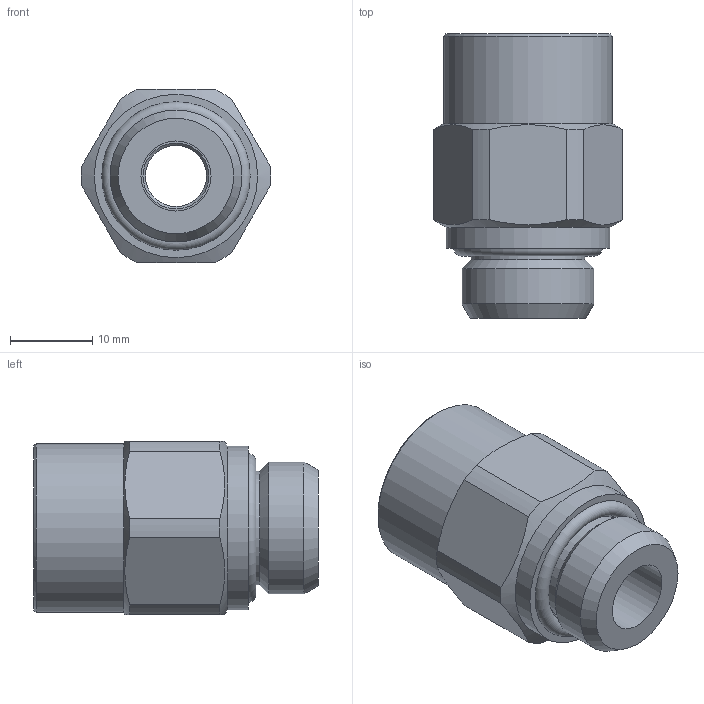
import cadquery as cq
import math


total_length = 34.5

spigot_diameter = 16.0
spigot_tip_diameter = 14.0
spigot_chamfer_angle = 30.0
spigot_shoulder = 6.0
neck_diameter = 13.8

collar_diameter = 19.8
collar_start = 8.5
seal_outer_diameter = 18.0
seal_section_radius = 0.95

hex_start = 11.0
hex_end = 23.6
hex_across_flats = 21.0
hex_corner_diameter = 23.0
hex_chamfer_angle = 30.0

sleeve_diameter = 20.5
sleeve_chamfer = 0.3

entry_bore_diameter = 8.5
entry_bore_depth = hex_start
cone_diameter = 8.0
through_bore_diameter = 7.4


def tan_deg(angle):
    return math.tan(math.radians(angle))


def revolve_about_y(profile):
    """Turn a closed (radius, Y) profile through a full revolution about Y."""
    return profile.close().revolve(360, (0, 0, 0), (0, 1, 0))


def make_front_end():
    """Spigot, undercut neck, seal ring and collar."""
    tip_radius = spigot_tip_diameter / 2
    spigot_radius = spigot_diameter / 2
    neck_radius = neck_diameter / 2
    seal_outer_radius = seal_outer_diameter / 2
    seal_centre_radius = seal_outer_radius - seal_section_radius
    seal_inner_radius = seal_centre_radius - seal_section_radius
    collar_radius = collar_diameter / 2
    tip_chamfer_length = (spigot_radius - tip_radius) / tan_deg(spigot_chamfer_angle)
    neck_start = spigot_shoulder + spigot_radius - neck_radius

    profile = (
        cq.Workplane("XY")
        .lineTo(tip_radius, 0)
        .lineTo(spigot_radius, tip_chamfer_length)
        .lineTo(spigot_radius, spigot_shoulder)
        .lineTo(neck_radius, neck_start)
        .lineTo(neck_radius, collar_start)
        .lineTo(seal_inner_radius, collar_start)
        .threePointArc(
            (seal_centre_radius, collar_start - seal_section_radius),
            (seal_outer_radius, collar_start),
        )
        .lineTo(collar_radius, collar_start)
        .lineTo(collar_radius, hex_start)
        .lineTo(0, hex_start)
    )
    return revolve_about_y(profile)


def make_hexagon():
    """Hexagon with flats at +Z and -Z, its corners and ends turned down."""
    corner_radius = hex_corner_diameter / 2
    front_radius = collar_diameter / 2
    rear_radius = sleeve_diameter / 2
    slope = tan_deg(hex_chamfer_angle)
    across_corners = hex_across_flats / math.cos(math.pi / 6)

    prism = (
        cq.Workplane("XZ", origin=(0, hex_start, 0))
        .polygon(6, across_corners)
        .extrude(hex_start - hex_end)
    )
    turned_envelope = revolve_about_y(
        cq.Workplane("XY")
        .moveTo(0, hex_start)
        .lineTo(front_radius, hex_start)
        .lineTo(corner_radius, hex_start + (corner_radius - front_radius) * slope)
        .lineTo(corner_radius, hex_end - (corner_radius - rear_radius) * slope)
        .lineTo(rear_radius, hex_end)
        .lineTo(0, hex_end)
    )
    return prism.intersect(turned_envelope)


def make_sleeve():
    """Plain cylinder behind the hexagon, chamfered at its free end."""
    return (
        cq.Workplane("XZ", origin=(0, hex_end, 0))
        .circle(sleeve_diameter / 2)
        .extrude(hex_end - total_length)
        .faces(">Y")
        .chamfer(sleeve_chamfer)
    )


def make_bore():
    """Entry bore, flat step, short 45 degree cone and through bore."""
    entry_radius = entry_bore_diameter / 2
    cone_radius = cone_diameter / 2
    through_radius = through_bore_diameter / 2
    cone_end = entry_bore_depth + cone_radius - through_radius

    profile = (
        cq.Workplane("XY")
        .lineTo(entry_radius, 0)
        .lineTo(entry_radius, entry_bore_depth)
        .lineTo(cone_radius, entry_bore_depth)
        .lineTo(through_radius, cone_end)
        .lineTo(through_radius, total_length)
        .lineTo(0, total_length)
    )
    return revolve_about_y(profile)


result = make_front_end().union(make_hexagon()).union(make_sleeve()).cut(make_bore())